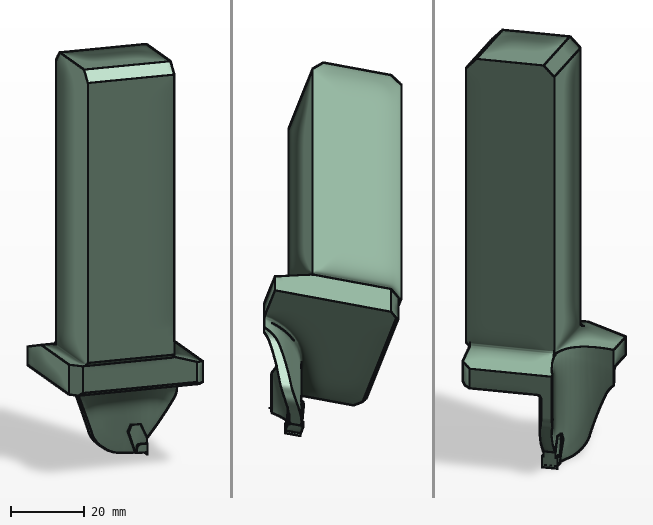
import cadquery as cq

TOTAL_HEIGHT = 116.5
TOTAL_DEPTH = 39.1

SHANK_SIZE = 25.3
SHANK_RIGHT = 37.0
SHANK_LEFT = SHANK_RIGHT - SHANK_SIZE
SHANK_FRONT = 4.0
SHANK_REAR = SHANK_FRONT + SHANK_SIZE
SHANK_TOP_CHAMFER = 3.0
SHANK_ROOT_CHAMFER = 1.2
ROOT_WIDTH = 0.9
ROOT_HEIGHT = 1.2
FRONT_ROOT_SIZE = 0.5

PLATE_BOTTOM = 24.3
PLATE_TOP = 32.8
PLATE_RIGHT = SHANK_RIGHT - SHANK_ROOT_CHAMFER
PLATE_CORNER_CHAMFER = 2.9
PLATE_LOWER_CHAMFER = 0.9
SLOPE_START_X = SHANK_LEFT - ROOT_WIDTH
SLOPE_START_Y = SHANK_REAR + ROOT_WIDTH
SLOPE_DROP_LEFT = 3.3
SLOPE_DROP_REAR = 2.8

CURVE_CENTER_Y = 29.8
INNER_RADIUS = 20.0
INNER_APEX_X = 11.47
OUTER_RADIUS = 19.3
OUTER_APEX_X = 14.9
REAR_CORNER_X = 9.5
BLADE_BOTTOM = 0.7
BLADE_ROOT_FILLET = 1.2

BLADE_FRONT = 11.0
NECK_START = (BLADE_FRONT, 20.4)
NECK_MIDDLE = (12.0, 18.8)
NECK_END = (12.8, 16.5)
TOE_START = (15.6, 5.9)
TOE_MIDDLE = (17.7, 2.2)
TOE_END = (21.7, BLADE_BOTTOM)
HEEL_START = (37.7, 14.4)
HEEL_MIDDLE = (38.8, 16.0)
HEEL_END = (TOTAL_DEPTH, 17.7)

INSERT_REAR = 29.5
INSERT_TOP = 8.7
INSERT_SHOULDER = 4.7
INSERT_TOP_REAR = 27.6
INSERT_TOP_FRONT = 24.9
INSERT_FRONT_CORNER = (24.1, 6.8)
INSERT_HEEL = 26.1
INSERT_LEFT = 11.3
INSERT_RIGHT = 14.8
TIP_RIGHT = 15.3
TIP_HEIGHT = 3.1
TIP_FRONT = 26.4
TIP_CORNER_RADIUS = 0.9
TIP_EDGE_LENGTH = 0.3


def box_between(x_range, y_range, z_range):
    """Box given by its limits along each axis."""
    lengths = [high - low for low, high in (x_range, y_range, z_range)]
    corner = (x_range[0], y_range[0], z_range[0])
    return cq.Workplane("XY").box(*lengths, centered=False).translate(corner)


def vertical_cylinder(apex_x, radius):
    """Cylinder along Z whose rightmost line lies at apex_x."""
    return (
        cq.Workplane("XY")
        .center(apex_x - radius, CURVE_CENTER_Y)
        .circle(radius)
        .extrude(TOTAL_HEIGHT)
    )


def make_shank():
    shank = box_between(
        (SHANK_LEFT, SHANK_RIGHT), (SHANK_FRONT, SHANK_REAR), (PLATE_TOP, TOTAL_HEIGHT)
    )
    shank = shank.faces(">Z").edges("|Y").chamfer(SHANK_TOP_CHAMFER)
    return shank.faces("<Z").edges(">X").chamfer(SHANK_ROOT_CHAMFER)


def make_plate():
    plate = box_between((0, PLATE_RIGHT), (0, TOTAL_DEPTH), (PLATE_BOTTOM, PLATE_TOP))
    plate = plate.edges("|Z and >X").chamfer(PLATE_CORNER_CHAMFER)
    plate = plate.faces("<Z").edges(">X").chamfer(PLATE_LOWER_CHAMFER)
    left_slope = (
        cq.Workplane("XZ")
        .polyline([(SLOPE_START_X, PLATE_TOP), (0, PLATE_TOP), (0, PLATE_TOP - SLOPE_DROP_LEFT)])
        .close()
        .extrude(-TOTAL_DEPTH)
    )
    rear_slope = (
        cq.Workplane("YZ")
        .moveTo(SLOPE_START_Y, PLATE_TOP)
        .lineTo(TOTAL_DEPTH, PLATE_TOP)
        .lineTo(TOTAL_DEPTH, PLATE_TOP - SLOPE_DROP_REAR)
        .close()
        .extrude(PLATE_RIGHT)
    )
    left_slope = left_slope.intersect(
        box_between((0, PLATE_RIGHT), (0, SLOPE_START_Y), (0, PLATE_TOP))
    )
    return plate.cut(left_slope).cut(rear_slope)


def make_root_strip(plane, wall, width, height, length):
    """Concave blend rising from the plate to a shank wall; width carries the outward sign."""
    bulge = 0.5 ** 0.5
    middle = (wall + width * (1 - bulge), PLATE_TOP + height * (1 - bulge))
    return (
        cq.Workplane(plane)
        .moveTo(wall, PLATE_TOP)
        .lineTo(wall + width, PLATE_TOP)
        .threePointArc(middle, (wall, PLATE_TOP + height))
        .close()
        .extrude(length)
    )


def make_shank_root():
    """Blends along the left, rear and front walls of the shank."""
    left = make_root_strip("XZ", SHANK_LEFT, -ROOT_WIDTH, ROOT_HEIGHT, -SHANK_SIZE)
    left = left.translate((0, SHANK_FRONT, 0))
    straight_length = PLATE_RIGHT - SHANK_LEFT
    rear = make_root_strip("YZ", SHANK_REAR, ROOT_WIDTH, ROOT_HEIGHT, straight_length)
    front = make_root_strip("YZ", SHANK_FRONT, -FRONT_ROOT_SIZE, FRONT_ROOT_SIZE, straight_length)
    return left.union(rear.union(front).translate((SHANK_LEFT, 0, 0)))


def make_blade_profile():
    """Side outline of the blade, swept along X."""
    return (
        cq.Workplane("YZ")
        .moveTo(BLADE_FRONT, PLATE_BOTTOM)
        .lineTo(*NECK_START)
        .threePointArc(NECK_MIDDLE, NECK_END)
        .lineTo(*TOE_START)
        .threePointArc(TOE_MIDDLE, TOE_END)
        .lineTo(INSERT_REAR, BLADE_BOTTOM)
        .lineTo(INSERT_REAR, INSERT_SHOULDER)
        .lineTo(*HEEL_START)
        .threePointArc(HEEL_MIDDLE, HEEL_END)
        .lineTo(TOTAL_DEPTH, PLATE_BOTTOM)
        .close()
        .extrude(PLATE_RIGHT)
    )


def make_blade_root():
    """Flared ring that rounds the blade's convex side into the plate."""
    center_x = OUTER_APEX_X - OUTER_RADIUS
    flare_radius = OUTER_RADIUS + BLADE_ROOT_FILLET
    flare_bottom = PLATE_BOTTOM - BLADE_ROOT_FILLET
    bend = BLADE_ROOT_FILLET * (1 - 0.5 ** 0.5)
    flare = (
        cq.Workplane("XZ")
        .moveTo(0, PLATE_BOTTOM)
        .lineTo(flare_radius, PLATE_BOTTOM)
        .threePointArc((OUTER_RADIUS + bend, PLATE_BOTTOM - bend), (OUTER_RADIUS, flare_bottom))
        .lineTo(0, flare_bottom)
        .close()
        .revolve(360, (0, 0, 0), (0, 1, 0))
        .translate((center_x, CURVE_CENTER_Y, 0))
    )
    return flare.intersect(
        box_between((0, PLATE_RIGHT), (0, TOTAL_DEPTH), (flare_bottom, PLATE_BOTTOM))
    )


def make_insert_outline(left, right):
    """Insert outline in the YZ plane, filling the span between two X positions."""
    outline = [
        (INSERT_REAR, 0),
        (INSERT_REAR, INSERT_SHOULDER),
        (INSERT_TOP_REAR, INSERT_TOP),
        (INSERT_TOP_FRONT, INSERT_TOP),
        INSERT_FRONT_CORNER,
        (INSERT_HEEL, BLADE_BOTTOM),
        (INSERT_REAR - TIP_EDGE_LENGTH, BLADE_BOTTOM),
    ]
    return (
        cq.Workplane("YZ").workplane(offset=left).polyline(outline).close().extrude(right - left)
    )


def make_insert():
    body = make_insert_outline(INSERT_LEFT, INSERT_RIGHT)
    wide_body = make_insert_outline(INSERT_LEFT - (TIP_RIGHT - INSERT_RIGHT), TIP_RIGHT)
    tip_zone = box_between((0, PLATE_RIGHT), (TIP_FRONT, TOTAL_DEPTH), (0, TIP_HEIGHT))
    tip_zone = tip_zone.edges("|X and <Y and >Z").fillet(TIP_CORNER_RADIUS)
    return body.union(wide_body.intersect(tip_zone))


def make_holder():
    blade = make_blade_profile().intersect(vertical_cylinder(OUTER_APEX_X, OUTER_RADIUS))
    holder = make_shank().union(make_plate()).union(make_shank_root())
    holder = holder.union(blade).union(make_blade_root())
    concave_cut = vertical_cylinder(INNER_APEX_X, INNER_RADIUS)
    rear_corner_cut = box_between(
        (0, REAR_CORNER_X), (CURVE_CENTER_Y, TOTAL_DEPTH), (0, TOTAL_HEIGHT)
    )
    insert_pocket = make_insert_outline(0, PLATE_RIGHT)
    return holder.cut(concave_cut).cut(rear_corner_cut).cut(insert_pocket)


holder = make_holder()
insert = make_insert()
result = cq.Compound.makeCompound([holder.val(), insert.val()])